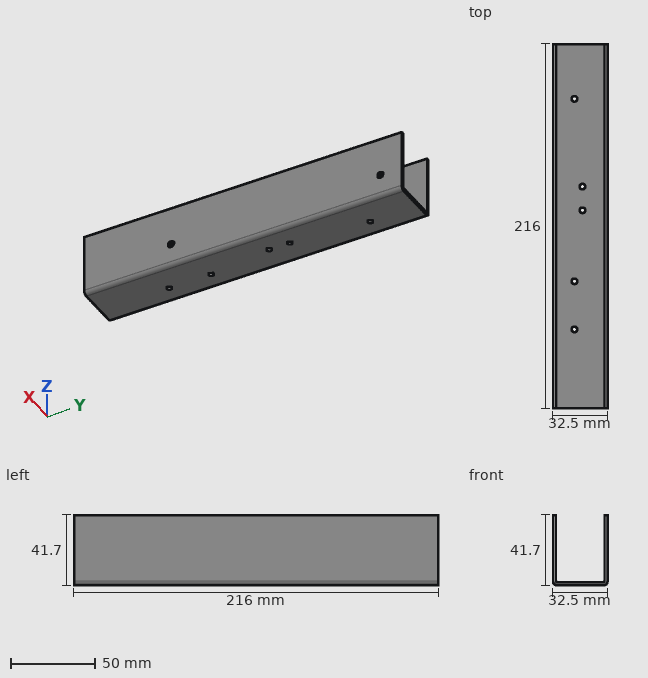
import cadquery as cq

width = 32.5
length = 216.0
height = 41.7
sheet = 2.0
inner_bend_radius = 0.6
outer_bend_radius = inner_bend_radius + sheet

floor_hole_diameter = 3.2
pair_x = 1.3
offset_x = -3.5
floor_holes = [
    (offset_x, 75.5),
    (pair_x, 23.5),
    (pair_x, 9.5),
    (offset_x, -32.5),
    (offset_x, -61.0),
]

wall_hole_diameter = 4.0
wall_hole_z = -5.5
wall_hole_ys = [93.5, -48.8]

floor_bottom = -height / 2


def make_channel():
    """U-shaped channel, open upwards, with rounded bends along both lower edges."""
    outer = (
        cq.Workplane("XY")
        .box(width, length, height)
        .edges("|Y and <Z")
        .fillet(outer_bend_radius)
    )
    inner = (
        cq.Workplane("XY")
        .box(width - 2 * sheet, length, height)
        .edges("|Y and <Z")
        .fillet(inner_bend_radius)
        .translate((0, 0, sheet))
    )
    return outer.cut(inner)


def make_floor_holes():
    return (
        cq.Workplane("XY", origin=(0, 0, floor_bottom))
        .pushPoints(floor_holes)
        .circle(floor_hole_diameter / 2)
        .extrude(sheet)
    )


def make_wall_holes():
    return (
        cq.Workplane("YZ", origin=(width / 2 - sheet, 0, 0))
        .pushPoints([(y, wall_hole_z) for y in wall_hole_ys])
        .circle(wall_hole_diameter / 2)
        .extrude(sheet)
    )


result = (
    make_channel()
    .cut(make_floor_holes())
    .cut(make_wall_holes())
)